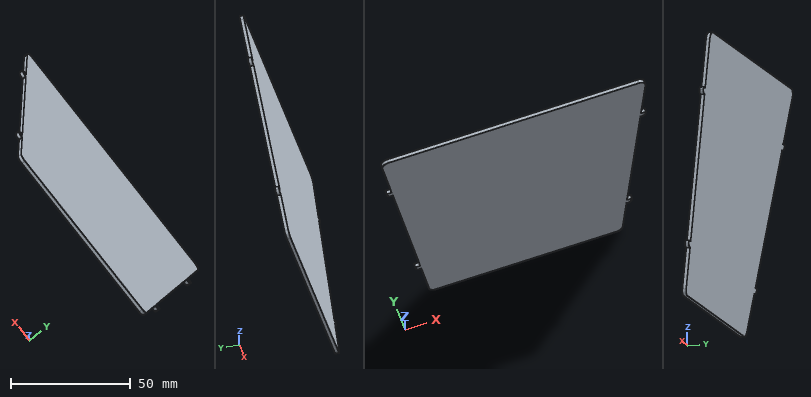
import cadquery as cq

height = 108.6
depth = 17.7
thickness_y = 1.7
lean = depth - thickness_y

top_half_width = 58.7
bottom_half_width = 42.5
corner_radius = 2.9

tab_tops = (85.0, 21.9)
tab_height = 2.6
tab_reach = 2.2
tab_taper = 0.6
tab_radius = 2.0
tab_root = 2.3


def half_width(z):
    """Half the plate width at height z."""
    return bottom_half_width + (top_half_width - bottom_half_width) * z / height


def through_depth(profile):
    """Extrude a front profile through the whole depth of the part."""
    return profile.extrude(-depth)


def make_outline():
    corners = [
        (-bottom_half_width, 0),
        (bottom_half_width, 0),
        (top_half_width, height),
        (-top_half_width, height),
    ]
    body = through_depth(cq.Workplane("XZ").polyline(corners).close())
    return body.edges("|Y").fillet(corner_radius)


def make_tab(top, side):
    bottom = top - tab_height
    root = half_width(bottom) - tab_root
    tip = half_width(top) + tab_reach
    tab = through_depth(
        cq.Workplane("XZ")
        .polyline([(root, top), (tip, top), (tip - tab_taper, bottom), (root, bottom)])
        .close()
    )
    tab = tab.faces("<Z").edges(">X").fillet(tab_radius)
    return tab if side > 0 else tab.mirror("YZ")


outline = make_outline()
for tab_top in tab_tops:
    for side in (1, -1):
        outline = outline.union(make_tab(tab_top, side))

slab = (
    cq.Workplane("YZ")
    .polyline([(0, 0), (thickness_y, 0), (depth, height), (lean, height)])
    .close()
    .extrude(top_half_width + tab_reach, both=True)
)

result = outline.intersect(slab)